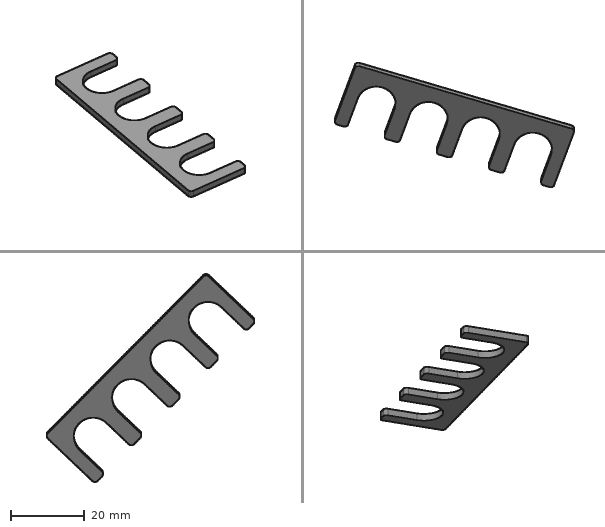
import cadquery as cq

length = 63.0
width = 19.0
thickness = 2.0
corner_radius = 1.0

slot_count = 4
slot_pitch = 15.0
slot_width = 10.5
floor_width = 4.3

slot_radius = slot_width / 2
slot_center_y = -width / 2 + floor_width + slot_radius


def slot_cutter(center_x):
    """U-shaped slot: round bottom, straight sides running out of the +Y edge."""
    left = center_x - slot_radius
    right = center_x + slot_radius
    open_y = width / 2
    return (
        cq.Workplane("XY")
        .moveTo(left, open_y)
        .lineTo(left, slot_center_y)
        .threePointArc((center_x, slot_center_y - slot_radius), (right, slot_center_y))
        .lineTo(right, open_y)
        .close()
        .extrude(thickness)
    )


result = cq.Workplane("XY").rect(length, width).extrude(thickness)
for index in range(slot_count):
    result = result.cut(slot_cutter((index - (slot_count - 1) / 2) * slot_pitch))

result = result.faces(">Y or <Y").edges("|Z").fillet(corner_radius)